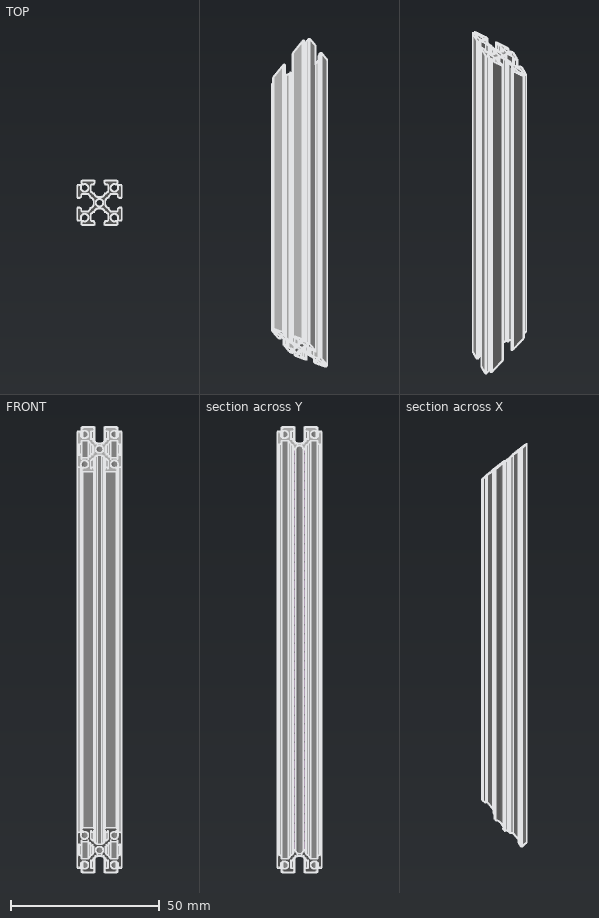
import cadquery as cq
import math

profile_size = 15.0
length = 150.0
miter_angle = 45.0

slot_width = 3.1
lip_depth = 0.7
lip_angle = 30.0
flange_depth = 1.4
chamber_width = 5.8
chamber_chamfer = 0.2
floor_width = 1.4
floor_height = 1.95

lower_flank_angle = 30.0
lower_flank_width = 0.7
upper_flank_angle = 60.0
upper_flank_width = 0.3
rib_height = 3.15
rib_width = 0.4
ramp_angle = 39.0

bore_diameter = 2.5
corner_bore_offset = 5.0

notch_depth = 1.4
notch_taper = 0.05
corner_gap = 0.6

chamfer_width = 0.45
chamfer_depth = 0.22

half_size = profile_size / 2
half_length = length / 2


def base_plane():
    """Workplane at the bottom end of the profile."""
    return cq.Workplane("XY").workplane(offset=-half_length)


def prism(points):
    """Extrude a closed outline over the full length of the profile."""
    return base_plane().polyline(points).close().extrude(length)


def along(start, angle, run):
    """Point reached from start after the given run in X on a line rising at the given angle."""
    x, y = start
    return (x + run, y + run * math.tan(math.radians(angle)))


def slot():
    """T-slot in the +Y side."""
    half_slot = slot_width / 2
    half_chamber = chamber_width / 2
    half_floor = floor_width / 2
    flange_bottom = half_size - flange_depth
    bevel_width = (flange_depth - lip_depth) * math.tan(math.radians(lip_angle))
    flank_base = (half_floor, floor_height)
    lower_end = along(flank_base, lower_flank_angle, lower_flank_width)
    upper_end = along(lower_end, upper_flank_angle, upper_flank_width)
    rib_edge = (upper_end[0], rib_height)
    ramp_base = (rib_edge[0] + rib_width, rib_height)
    ramp_end = along(ramp_base, ramp_angle, half_chamber - ramp_base[0])
    right_side = [
        flank_base,
        lower_end,
        upper_end,
        rib_edge,
        ramp_base,
        ramp_end,
        (half_chamber, flange_bottom - chamber_chamfer),
        (half_chamber - chamber_chamfer, flange_bottom),
        (half_slot + bevel_width, flange_bottom),
        (half_slot, half_size - lip_depth),
        (half_slot, half_size - chamfer_depth),
        (half_slot + chamfer_width, half_size),
    ]
    left_side = [(-x, y) for x, y in reversed(right_side)]
    return prism(right_side + left_side)


def corner_notch():
    """Notch in the +X +Y corner and the diagonal gap that joins it to the bore."""
    mouth = half_size - notch_depth
    root = mouth - notch_taper
    bore = corner_bore_offset
    gap_shift = corner_gap / math.sqrt(2)
    return prism([
        (bore + gap_shift / 2, bore - gap_shift / 2),
        (root + gap_shift, root),
        (half_size - chamfer_depth, mouth),
        (half_size, mouth - chamfer_width),
        (half_size, half_size),
        (mouth - chamfer_width, half_size),
        (mouth, half_size - chamfer_depth),
        (root, root + gap_shift),
        (bore - gap_shift / 2, bore + gap_shift / 2),
    ])


def bores():
    """Centre bore and four corner bores."""
    centres = [(0, 0)]
    for sign_x in (-1, 1):
        for sign_y in (-1, 1):
            centres.append((sign_x * corner_bore_offset, sign_y * corner_bore_offset))
    return base_plane().pushPoints(centres).circle(bore_diameter / 2).extrude(length)


def mitred_envelope():
    """Trapezoid with both ends mitred, longest on the +Y side."""
    miter_drop = profile_size * math.tan(math.radians(miter_angle))
    short_half_length = half_length - miter_drop
    outline = [
        (half_size, -half_length),
        (half_size, half_length),
        (-half_size, short_half_length),
        (-half_size, -short_half_length),
    ]
    return cq.Workplane("YZ").polyline(outline).close().extrude(half_size, both=True)


result = cq.Workplane("XY").box(profile_size, profile_size, length)
for quarter_turn in range(4):
    angle = 90 * quarter_turn
    result = result.cut(slot().rotate((0, 0, 0), (0, 0, 1), angle))
    result = result.cut(corner_notch().rotate((0, 0, 0), (0, 0, 1), angle))
result = result.cut(bores())
result = result.intersect(mitred_envelope())